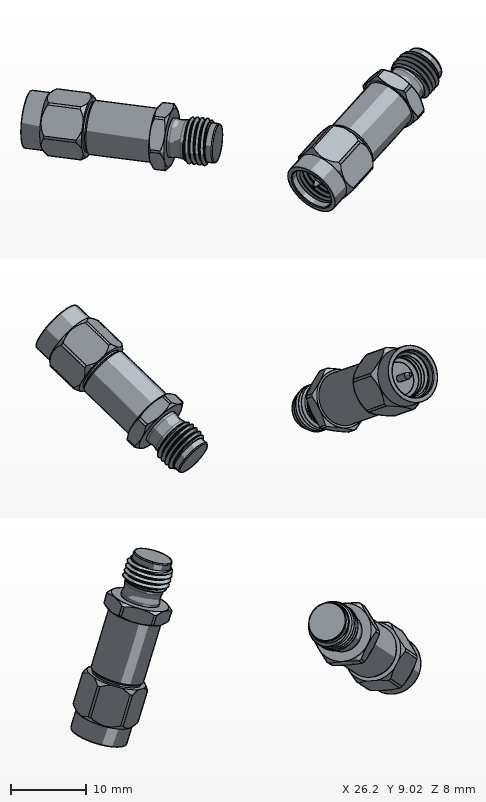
import cadquery as cq
import math


total_length = 26.16
across_flats = 8.0
across_corners = 9.02
hexagon_turn = 30

millimetres_per_inch = 25.4
thread_pitch = millimetres_per_inch / 36
thread_crest = 0.06
thread_root_width = 0.94 * thread_pitch
thread_overlap = 0.05

sleeve_dia = 7.81
sleeve_edge_length = 0.1
sleeve_edge_drop = 0.025
nut_start = 2.63
nut_end = 8.45
nut_front_chamfer = 0.7
nut_front_face_dia = 7.81
nut_back_chamfer = 0.62
nut_back_face_dia = 8.12

mouth_dia = 6.62
counterbore_dia = 6.35
counterbore_depth = 1.0
lead_in_slope = 0.6
bore_dia = 5.54
cavity_depth = 3.4
inner_thread_dia = 6.3
inner_thread_start = 0.7
inner_thread_turns = 5
inner_thread_phase = 10

pin_dia = 0.94
pin_tip_dia = 0.4
pin_tip = 0.6
pin_shoulder = 1.35
dielectric_dia = 4.52
dielectric_bore_dia = 4.57
dielectric_gap_depth = 0.2

neck_dia = 6.8
neck_end = 8.71
body_dia = 7.3
body_chamfer = (body_dia - neck_dia) / 2

wrench_start = 17.72
wrench_end = 19.82
wrench_chamfer = 0.35
wrench_face_dia = 7.96

barrel_dia = 5.33
barrel_edge_length = 0.18
barrel_edge_drop = 0.09
relief_start = 20.18
relief_end = 21.67
relief_depth = 0.12
thread_start = 22.06
thread_end = 25.18
thread_dia = 6.35
thread_end_dia = 5.6
thread_lead_in = 0.42
thread_phase = 45
thread_overrun_turns = 1


def revolve(profile):
    """Turn a closed (x, radius) profile about the X axis."""
    return profile.close().revolve(360, (0, 0, 0), (1, 0, 0))


def cylinder(start, end, dia):
    """Cylinder about the X axis between two stations."""
    return cq.Workplane("YZ").workplane(offset=start).circle(dia / 2).extrude(end - start)


def chamfered_blank(start, end, dia, front, front_dia, back, back_dia):
    """Cylinder whose two ends taper to smaller end faces."""
    return revolve(
        cq.Workplane("XY")
        .moveTo(start, 0)
        .lineTo(start, front_dia / 2)
        .lineTo(start + front, dia / 2)
        .lineTo(end - back, dia / 2)
        .lineTo(end, back_dia / 2)
        .lineTo(end, 0)
    )


def hexagon(start, end, front, front_dia, back, back_dia):
    """Hexagon with flats facing +Z and -Z, its corners turned down to across_corners."""
    prism = (
        cq.Workplane("YZ")
        .workplane(offset=start)
        .transformed(rotate=(0, 0, hexagon_turn))
        .polygon(6, across_flats, circumscribed=True)
        .extrude(end - start)
    )
    return prism.intersect(chamfered_blank(start, end, across_corners, front, front_dia, back, back_dia))


def helical_ridge(start, turns, base_radius, tip_radius, phase):
    """Right-handed V ridge wound about X, its base at base_radius and its tip at tip_radius."""
    half_base = thread_root_width / 2
    height = thread_pitch * turns
    path = cq.Wire.makeHelix(thread_pitch, height, base_radius)
    ridge = (
        cq.Workplane("XZ")
        .moveTo(base_radius, -half_base)
        .lineTo(tip_radius, -thread_crest / 2)
        .lineTo(tip_radius, thread_crest / 2)
        .lineTo(base_radius, half_base)
        .close()
        .sweep(cq.Workplane(path), isFrenet=True)
    )
    return ridge.rotate((0, 0, 0), (0, 1, 0), 90).rotate((0, 0, 0), (1, 0, 0), phase).translate((start, 0, 0))


def coupling_nut():
    """Round sleeve with an eased mouth edge, and the hexagon behind it."""
    sleeve = cylinder(0, nut_start, sleeve_dia).faces("<X").chamfer(sleeve_edge_length, sleeve_edge_drop)
    return sleeve.union(
        hexagon(nut_start, nut_end, nut_front_chamfer, nut_front_face_dia, nut_back_chamfer, nut_back_face_dia)
    )


def nut_bore():
    """Flared mouth, counterbore, tapered step and bore, right through the nut."""
    lead_in = (counterbore_dia - bore_dia) / 2 * lead_in_slope
    mouth_edge = (mouth_dia - counterbore_dia) / 2
    return revolve(
        cq.Workplane("XY")
        .moveTo(0, 0)
        .lineTo(0, mouth_dia / 2)
        .lineTo(mouth_edge, counterbore_dia / 2)
        .lineTo(counterbore_depth, counterbore_dia / 2)
        .lineTo(counterbore_depth + lead_in, bore_dia / 2)
        .lineTo(nut_end, bore_dia / 2)
        .lineTo(nut_end, 0)
    )


def inner_thread():
    """Helical groove in the wall of the nut bore."""
    return helical_ridge(
        inner_thread_start, inner_thread_turns, bore_dia / 2 - thread_overlap, inner_thread_dia / 2, inner_thread_phase
    )


def cavity_floor():
    """Plug that fills the bore and its groove behind the floor of the cavity."""
    return cylinder(cavity_depth, nut_end, mouth_dia)


def dielectric_gap():
    """Thin ring groove round the dielectric in the cavity floor."""
    gap = cylinder(cavity_depth, cavity_depth + dielectric_gap_depth, dielectric_bore_dia)
    return gap.cut(cylinder(cavity_depth, cavity_depth + dielectric_gap_depth, dielectric_dia))


def centre_pin():
    """Pin with a conical tip, standing on the cavity floor."""
    return revolve(
        cq.Workplane("XY")
        .moveTo(pin_tip, 0)
        .lineTo(pin_tip, pin_tip_dia / 2)
        .lineTo(pin_shoulder, pin_dia / 2)
        .lineTo(cavity_depth, pin_dia / 2)
        .lineTo(cavity_depth, 0)
    )


def body():
    """Neck, chamfered shoulder, main cylinder and wrench hexagon."""
    tube = revolve(
        cq.Workplane("XY")
        .moveTo(nut_end, 0)
        .lineTo(nut_end, neck_dia / 2)
        .lineTo(neck_end, neck_dia / 2)
        .lineTo(neck_end + body_chamfer, body_dia / 2)
        .lineTo(wrench_start, body_dia / 2)
        .lineTo(wrench_start, 0)
    )
    return tube.union(
        hexagon(wrench_start, wrench_end, wrench_chamfer, wrench_face_dia, wrench_chamfer, wrench_face_dia)
    )


def female_barrel():
    """Barrel with a shallow curved relief and an eased end."""
    radius = barrel_dia / 2
    return revolve(
        cq.Workplane("XY")
        .moveTo(wrench_end, 0)
        .lineTo(wrench_end, radius)
        .lineTo(relief_start, radius)
        .threePointArc(((relief_start + relief_end) / 2, radius - relief_depth), (relief_end, radius))
        .lineTo(total_length - barrel_edge_length, radius)
        .lineTo(total_length, radius - barrel_edge_drop)
        .lineTo(total_length, 0)
    )


def female_thread():
    """External thread, wound past both ends and trimmed to a tapered blank."""
    turns = math.ceil((thread_end - thread_start) / thread_pitch) + 2 * thread_overrun_turns
    ridge = helical_ridge(
        thread_start - thread_overrun_turns * thread_pitch,
        turns,
        barrel_dia / 2 - thread_overlap,
        thread_dia / 2,
        thread_phase,
    )
    blank = chamfered_blank(
        thread_start, thread_end, thread_dia, thread_lead_in, thread_end_dia, thread_lead_in, thread_end_dia
    )
    return ridge.intersect(blank)


result = (
    coupling_nut()
    .cut(nut_bore())
    .cut(inner_thread())
    .union(cavity_floor())
    .cut(dielectric_gap())
    .union(centre_pin())
    .union(body())
    .union(female_barrel())
    .union(female_thread())
)